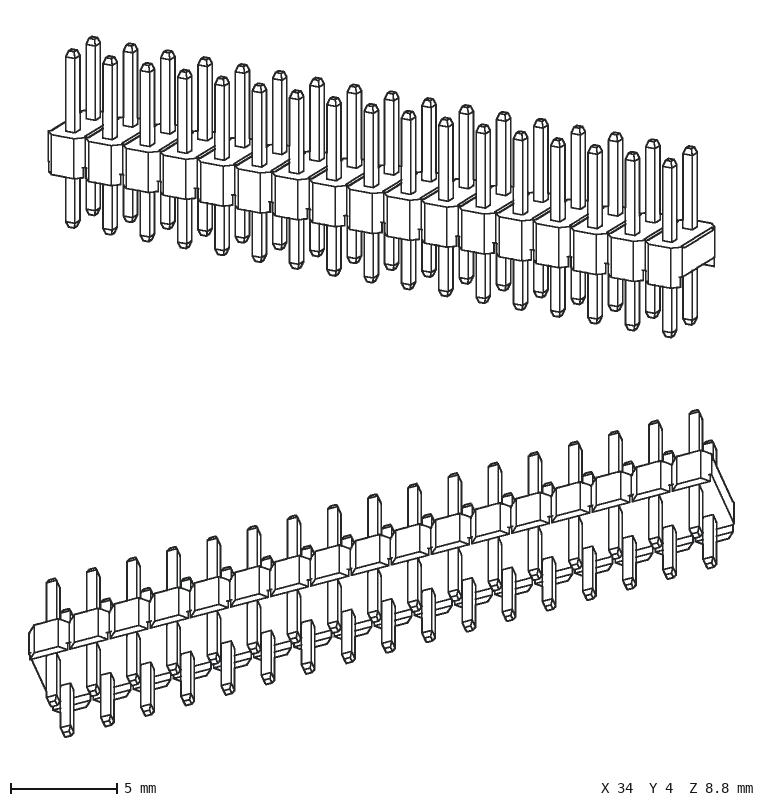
import cadquery as cq

length = 34.0
height = 8.8
columns = 17
rows = 2
pitch = length / columns

housing_width = rows * pitch
housing_height = pitch
corner_cut = pitch / 5
groove_depth = 0.1
groove_run_out = 2 * groove_depth
foot_width = 0.35
foot_height = pitch / 4

pin_side = pitch / 4
pin_above = 2 * pitch
pin_below = height - pin_above - housing_height
tip_inset = 0.1
tip_height = 0.29


def make_cell():
    """One housing cell: a block with its four upright corners cut off."""
    block = cq.Workplane("XY").box(pitch, housing_width, housing_height, centered=(True, True, False))
    return block.edges("|Z").chamfer(corner_cut)


def make_groove():
    """Cutter for the 45-degree V groove along Y between two cells, pointed at each end."""
    point_y = housing_width / 2 - corner_cut
    shoulder_y = point_y - groove_depth
    keel_y = point_y - groove_run_out
    top = housing_height

    front_point = (0, -point_y, top)
    back_point = (0, point_y, top)
    front_left = (-groove_depth, -shoulder_y, top)
    front_right = (groove_depth, -shoulder_y, top)
    back_left = (-groove_depth, shoulder_y, top)
    back_right = (groove_depth, shoulder_y, top)
    front_keel = (0, -keel_y, top - groove_depth)
    back_keel = (0, keel_y, top - groove_depth)

    outlines = [
        (front_point, front_right, back_right, back_point, back_left, front_left),
        (front_left, back_left, back_keel, front_keel),
        (front_right, front_keel, back_keel, back_right),
        (front_point, front_left, front_keel),
        (front_point, front_keel, front_right),
        (back_point, back_keel, back_left),
        (back_point, back_right, back_keel),
    ]
    faces = []
    for outline in outlines:
        wire = cq.Wire.makePolygon([cq.Vector(*corner) for corner in outline], close=True)
        faces.append(cq.Face.makeFromWires(wire))
    return cq.Solid.makeSolid(cq.Shell.makeShell(faces))


def make_housing():
    """Row of cells, grooved along every cell border, with a channel between the feet underneath."""
    cell = make_cell().val()
    housing = cq.Workplane("XY").rarray(pitch, pitch, columns, 1).eachpoint(cell.moved, combine=True)

    groove = make_groove()
    grooves = cq.Workplane("XY").rarray(pitch, pitch, columns + 1, 1).eachpoint(groove.moved)

    channel_width = housing_width - 2 * foot_width
    channel = cq.Workplane("XY").box(length, channel_width, foot_height, centered=(True, True, False))
    return housing.cut(grooves).cut(channel)


def make_pin():
    """Square pin running through the housing, tapered at both ends."""
    pin = cq.Workplane("XY").box(pin_side, pin_side, height, centered=(True, True, False))
    pin = pin.faces("<Z or >Z").chamfer(tip_height, tip_inset)
    return pin.translate((0, 0, -pin_below))


def make_pin_grid():
    """All pins, one at each row and column."""
    pin = make_pin().val()
    return cq.Workplane("XY").rarray(pitch, pitch, columns, rows).eachpoint(pin.moved)


result = make_housing().union(make_pin_grid())